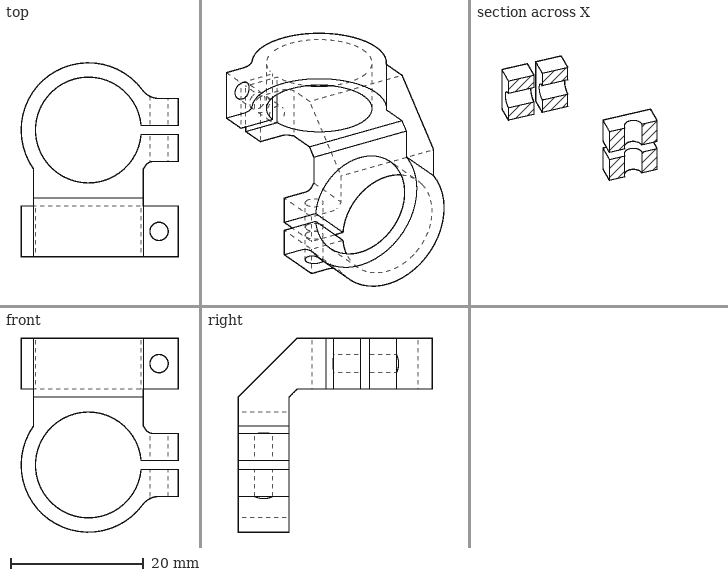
import cadquery as cq

overall = 29.2
thickness = 7.65
ring_radius = 10.15
bore_radius = 7.95
ear_reach = 13.55
ear_half_height = 4.75
slot_width = 1.3

web_width = 16.53
outer_bevel = 8.82
inner_bevel = 1.23

web_side_fillet = 1.3
free_side_fillet = 3.0
screw_diameter = 2.72
screw_x = 10.63

axis_offset = overall - ring_radius
half_web = web_width / 2


def clamp_blank():
    """Solid clamp lying on XY, bore axis at the origin, web towards +Y."""
    ring = cq.Workplane("XY").circle(ring_radius).extrude(thickness)
    web = cq.Workplane("XY").rect(web_width, axis_offset, centered=(True, False)).extrude(thickness)
    ears = (
        cq.Workplane("XY")
        .rect(ear_reach, 2 * ear_half_height, centered=(False, True))
        .extrude(thickness)
    )
    blank = ring.union(web).union(ears)
    ring_meets_ear_x = (ring_radius**2 - ear_half_height**2) ** 0.5
    blank = fillet_at(blank, ring_meets_ear_x, -ear_half_height, free_side_fillet)
    return fillet_at(blank, ring_meets_ear_x, ear_half_height, web_side_fillet)


def fillet_at(body, x, y, radius):
    """Round the axial edge that passes through (x, y)."""
    edge = cq.selectors.NearestToPointSelector((x, y, thickness / 2))
    return body.edges("|Z").edges(edge).fillet(radius)


def cut_openings(clamp):
    """Cut the bore, the clamping slot and the screw hole."""
    bore = cq.Workplane("XY").circle(bore_radius).extrude(thickness)
    slot = (
        cq.Workplane("XY")
        .rect(ear_reach, slot_width, centered=(False, True))
        .extrude(thickness)
    )
    screw = (
        cq.Workplane("XZ", origin=(screw_x, 0, thickness / 2))
        .circle(screw_diameter / 2)
        .extrude(ring_radius, both=True)
    )
    return clamp.cut(bore).cut(slot).cut(screw)


def prism(points):
    """Web-wide prism with its profile given as (y, z) points."""
    return cq.Workplane("YZ").polyline(points).close().extrude(half_web, both=True)


upright = (
    cut_openings(clamp_blank())
    .rotate((0, 0, 0), (1, 0, 0), 90)
    .translate((0, thickness, -axis_offset))
)

level = (
    cut_openings(clamp_blank())
    .mirror("XZ")
    .translate((0, axis_offset, -thickness))
)

inner_corner = prism([
    (thickness, -thickness),
    (thickness + inner_bevel, -thickness),
    (thickness, -thickness - inner_bevel),
])
outer_corner = prism([(0, 0), (outer_bevel, 0), (0, -outer_bevel)])

result = upright.union(level).union(inner_corner).cut(outer_corner)